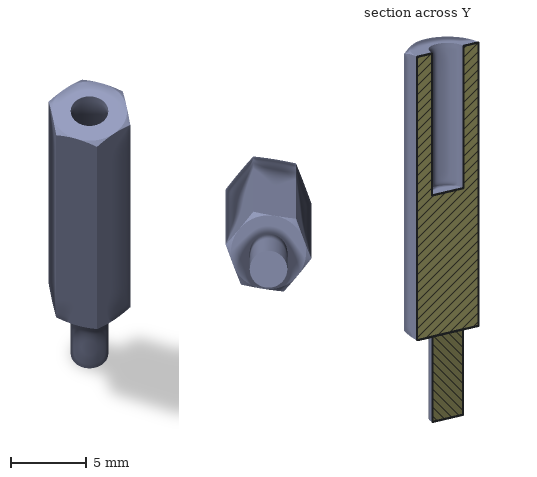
import cadquery as cq
import math

total_length = 26.0
stud_length = 6.0
across_flats = 5.0
bore_diameter = 2.5
stud_diameter = 2.5
bore_depth = 10.0
chamfer_angle = 30.0

body_length = total_length - stud_length
across_corners = across_flats / math.cos(math.radians(30))
corner_radius = across_corners / 2
end_face_radius = across_flats / 2
chamfer_drop = (corner_radius - end_face_radius) * math.tan(math.radians(chamfer_angle))


def chamfer_envelope():
    """Turned shape whose conical ends trim the corners of the hexagon."""
    profile = [
        (0, 0),
        (end_face_radius, 0),
        (corner_radius, chamfer_drop),
        (corner_radius, body_length - chamfer_drop),
        (end_face_radius, body_length),
        (0, body_length),
    ]
    return cq.Workplane("XZ").polyline(profile).close().revolve(360, (0, 0), (0, 1))


def make_standoff():
    """Hexagonal body, corners along Y, with a blind bore in its top face."""
    hexagon = (
        cq.Workplane("XY")
        .polygon(6, across_corners)
        .extrude(body_length)
        .rotate((0, 0, 0), (0, 0, 1), 90)
    )
    bore = (
        cq.Workplane("XY")
        .workplane(offset=body_length - bore_depth)
        .circle(bore_diameter / 2)
        .extrude(bore_depth)
    )
    return hexagon.intersect(chamfer_envelope()).cut(bore)


def make_stud():
    """Plain round stud that meets the bottom face of the standoff."""
    return cq.Workplane("XY").circle(stud_diameter / 2).extrude(-stud_length)


standoff = make_standoff()
stud = make_stud()

result = cq.Compound.makeCompound([standoff.val(), stud.val()])